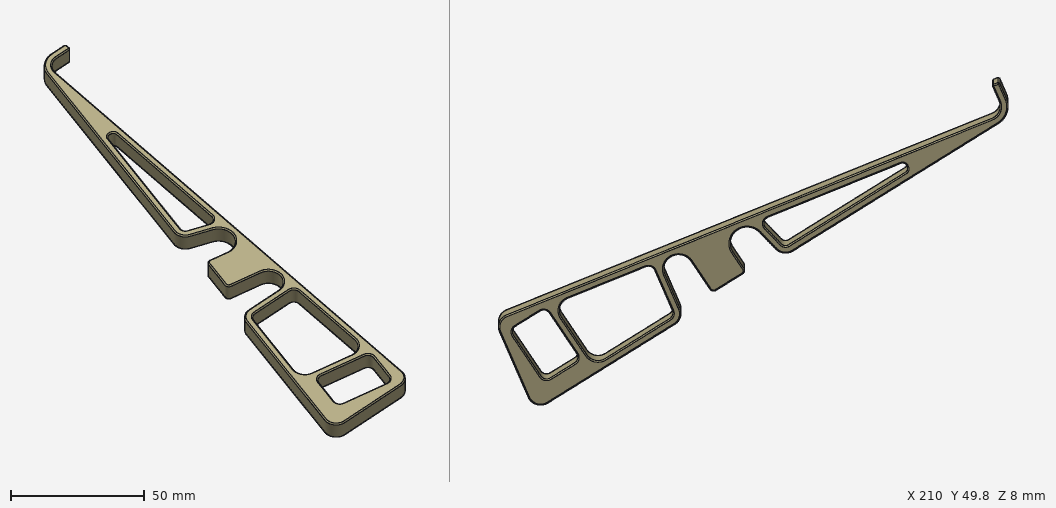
import cadquery as cq
import math

length = 210.0
thickness = 8.0
slope = 10.0
wall = 3.0
edge_chamfer = 0.52

hook_height = 12.0
hook_inner_radius = 5.0
hook_outer_radius = hook_inner_radius + wall

corner_radius = 5.0
tooth_radius = 1.7
window_radius = 2.5
large_window_radius = corner_radius
arm_window_tip_radius = 1.7
arm_window_radius = corner_radius - wall

arm_end_x = 108.0
arm_end_angle = 70.0
tooth_x = 119.3
tooth_width = 15.1
tooth_setback = 2.7
frame_x = 144.3

arm_window_x = 44.5
divider_x = 188.0
handle_window_width = 16.0
handle_window_height = 24.0
handle_window_setback = 7.8


def line(x, y, angle):
    """A straight line through (x, y) at an angle in degrees from +X."""
    return (x, y, math.cos(math.radians(angle)), math.sin(math.radians(angle)))


def shifted(base, distance):
    """A line parallel to base, moved to its left by distance."""
    x, y, dx, dy = base
    return (x - dy * distance, y + dx * distance, dx, dy)


def meet(first, second):
    """The point where two lines cross."""
    x1, y1, dx1, dy1 = first
    x2, y2, dx2, dy2 = second
    cross = dx1 * dy2 - dy1 * dx2
    along = ((x2 - x1) * dy2 - (y2 - y1) * dx2) / cross
    return (x1 + along * dx1, y1 + along * dy1)


def notch_radius(left, right):
    """Radius of the arc that joins both sides of a notch and leaves one wall below the top edge."""
    left_angle = math.atan2(left[3], left[2])
    right_angle = math.atan2(right[3], right[2])
    half_angle = (right_angle - left_angle) / 2
    axis_angle = (right_angle + left_angle) / 2
    apex_y = meet(left, right)[1]
    return (apex_y + wall) / (math.sin(axis_angle) / math.sin(half_angle) - 1)


def corners(sides):
    """Corners of a closed loop of (line, radius); the radius rounds the crossing with the next line."""
    following = sides[1:] + sides[:1]
    return [(meet(side, after), radius) for (side, radius), (after, _) in zip(sides, following)]


def rounded_plate(sides):
    """A plate bounded by a closed loop of (line, corner radius); zero keeps a corner sharp."""
    outline = corners(sides)
    points = [cq.Vector(x, y, 0) for (x, y), _ in outline]
    stretches = []
    for index, (_, radius) in enumerate(outline):
        corner = points[index]
        back = (points[index - 1] - corner).normalized()
        ahead = (points[(index + 1) % len(points)] - corner).normalized()
        half_angle = back.getAngle(ahead) / 2
        reach = radius / math.tan(half_angle)
        bisector = (back + ahead).normalized()
        middle = corner + bisector * (radius / math.sin(half_angle) - radius)
        stretches.append((corner + back * reach, middle, corner + ahead * reach, radius))
    path = cq.Workplane("XY").moveTo(*stretches[-1][2].toTuple()[:2])
    for start, middle, end, radius in stretches:
        path = path.lineTo(start.x, start.y)
        if radius > 0:
            path = path.threePointArc((middle.x, middle.y), (end.x, end.y))
    return path.close().extrude(thickness)


top_edge = line(0, 0, 0)
hook_outside = line(0, 0, 90)
hook_inside = line(wall, 0, 90)
hook_tip = line(0, hook_height, 0)
right_end = line(length, 0, 90)
lower_edge = shifted(line(hook_outer_radius, hook_inner_radius, -slope), -hook_outer_radius)
arm_end = line(arm_end_x, 0, arm_end_angle)
tooth_left = line(tooth_x, 0, 90 - slope)
tooth_right = shifted(tooth_left, -tooth_width)
tooth_tip = shifted(lower_edge, tooth_setback)
frame_left = line(frame_x, 0, 90)
divider_left = line(divider_x, 0, 90 - slope)
handle_left = shifted(divider_left, -wall)
handle_bottom = shifted(lower_edge, handle_window_setback)

body = rounded_plate(
    [
        (hook_outside, hook_outer_radius),
        (lower_edge, corner_radius),
        (arm_end, notch_radius(arm_end, tooth_left)),
        (tooth_left, tooth_radius),
        (tooth_tip, tooth_radius),
        (tooth_right, notch_radius(tooth_right, frame_left)),
        (frame_left, corner_radius),
        (lower_edge, corner_radius),
        (right_end, corner_radius),
        (top_edge, hook_inner_radius),
        (hook_inside, 0),
        (hook_tip, 0),
    ]
)

window_top = shifted(top_edge, -wall)
window_bottom = shifted(lower_edge, wall)

arm_window = rounded_plate(
    [
        (line(arm_window_x, 0, 90), arm_window_tip_radius),
        (window_bottom, arm_window_radius),
        (shifted(arm_end, wall), window_radius),
        (window_top, arm_window_tip_radius),
    ]
)
frame_window = rounded_plate(
    [
        (shifted(frame_left, -wall), window_radius),
        (window_bottom, large_window_radius),
        (divider_left, large_window_radius),
        (window_top, window_radius),
    ]
)
handle_window = rounded_plate(
    [
        (handle_left, window_radius),
        (handle_bottom, window_radius),
        (shifted(handle_left, -handle_window_width), window_radius),
        (shifted(handle_bottom, handle_window_height), window_radius),
    ]
)
plate = body.cut(arm_window).cut(frame_window).cut(handle_window)

result = plate.faces("<Z or >Z or >Y").chamfer(edge_chamfer)